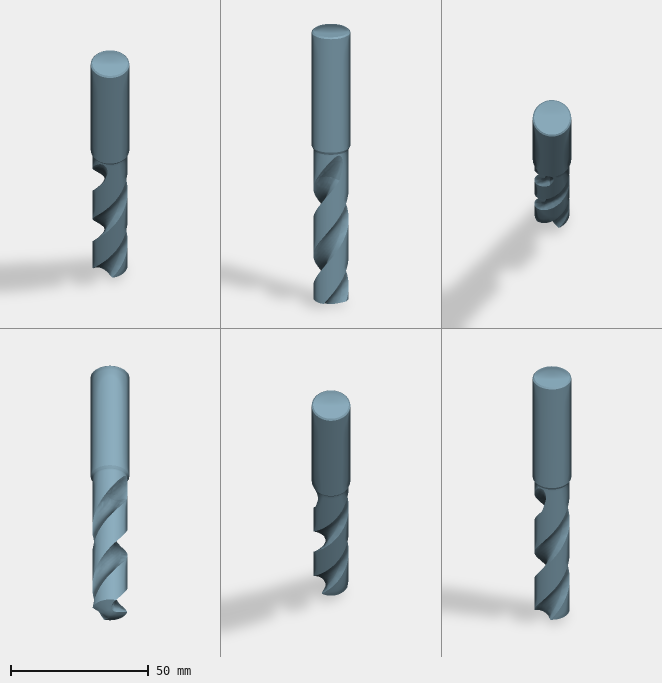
import cadquery as cq
import math

total_length = 107.0
shank_radius = 7.01
drill_radius = 6.4
shank_start = 62.1
split_height = 60.0
top_chamfer = 0.5
shoulder_height = 1.1
point_angle = 140.0
point_height = drill_radius / math.tan(math.radians(point_angle / 2))

flute_count = 2
flute_pitch = 52.4
flute_end = 50.5
flute_lead_in = 1.1
face_angle = -47.0
flute_arc = 82.0
crease_radius = 4.0
crease_lag = 5.0
web_radius = 2.0
web_lag = 40.0
outer_radius = 8.6
runout_height = 12.8
runout_slope = 0.69
runout_lift = 0.21


def polar(radius, angle):
    """Point in the XY plane at a radius and an angle in degrees."""
    return (radius * math.cos(math.radians(angle)), radius * math.sin(math.radians(angle)))


def flute_section(height, turn):
    """Flute cross-section at a height, turned about the axis from its place at flute_end."""
    face = face_angle + turn
    heel = face - flute_arc
    return (
        cq.Workplane("XY", origin=(0, 0, height))
        .moveTo(*polar(outer_radius, face))
        .lineTo(*polar(drill_radius, face))
        .lineTo(*polar(crease_radius, face - crease_lag))
        .threePointArc(polar(web_radius, face - web_lag), polar(drill_radius, heel))
        .lineTo(*polar(outer_radius, heel))
        .threePointArc(polar(outer_radius, face - flute_arc / 2), polar(outer_radius, face))
        .close()
    )


def flute_cutters(start_turn):
    """Helical stretch and straight run-out of one flute."""
    length = flute_end + flute_lead_in
    twist = 360 * length / flute_pitch
    helix = flute_section(-flute_lead_in, start_turn - twist).twistExtrude(length, twist)
    travel = cq.Vector(runout_slope, -runout_lift, 1) * runout_height
    section = flute_section(flute_end, 0).wires().val()
    runout = cq.Solid.extrudeLinear(section, [], travel)
    runout = runout.rotate(cq.Vector(0, 0, 0), cq.Vector(0, 0, 1), start_turn)
    return [helix.val(), runout]


def cutting_blank():
    """Plain cylinder with the conical drill point."""
    return (
        cq.Workplane("YZ")
        .polyline([(0, 0), (drill_radius, point_height), (drill_radius, split_height), (0, split_height)])
        .close()
        .revolve(360, (0, 0), (0, 1))
    )


def shank_blank():
    """Shank with a chamfered top, a conical shoulder and a short neck."""
    outline = [
        (0, split_height),
        (drill_radius, split_height),
        (drill_radius, shank_start - shoulder_height),
        (shank_radius, shank_start),
        (shank_radius, total_length - top_chamfer),
        (shank_radius - top_chamfer, total_length),
        (0, total_length),
    ]
    return cq.Workplane("YZ").polyline(outline).close().revolve(360, (0, 0), (0, 1))


flutes = []
for index in range(flute_count):
    flutes += flute_cutters(index * 360 / flute_count)
cutting_part = cutting_blank().val().cut(*flutes)
shank = shank_blank().val().cut(*flutes)

result = cq.Compound.makeCompound([cutting_part, shank])